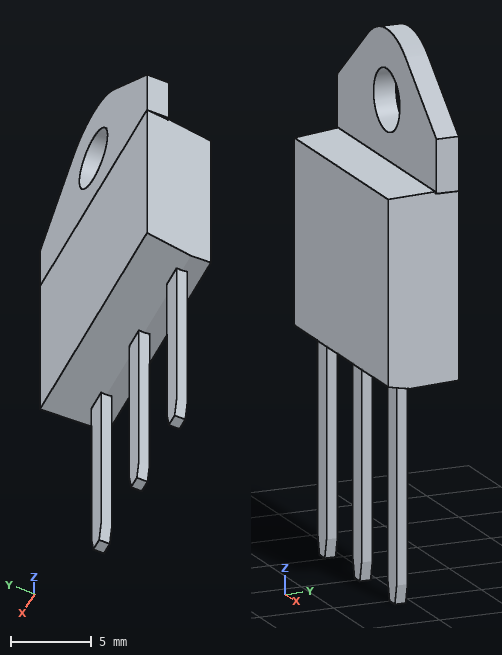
import cadquery as cq
import math

width = 15.5
depth = 4.6
height = 35.45

tab_thickness = 1.52
tab_bottom = 26.87
tab_shoulder = 30.4
hole_diameter = 4.08
tab_radius = 4.6
hole_height = height - tab_radius

front_width = 14.65
ridge_top = 26.98
front_top = 26.75
housing_bottom = 14.35
bottom_draft_rise = 0.25
parting_depth = 3.15

lead_count = 3
lead_pitch = 5.45
lead_width = 1.42
lead_thickness = 0.75
lead_tip_width = 0.85
lead_tip_height = 1.3


def make_tab():
    """Flat tab whose straight shoulders run tangent into a rounded end, with a through hole."""
    half_width = width / 2
    drop = hole_height - tab_shoulder
    shoulder_distance = math.hypot(half_width, drop)
    tangent_angle = math.acos(tab_radius / shoulder_distance) - math.atan2(drop, half_width)
    tangent_x = tab_radius * math.cos(tangent_angle)
    tangent_z = hole_height + tab_radius * math.sin(tangent_angle)
    plate = (
        cq.Workplane("XZ")
        .moveTo(-half_width, tab_bottom)
        .lineTo(half_width, tab_bottom)
        .lineTo(half_width, tab_shoulder)
        .lineTo(tangent_x, tangent_z)
        .threePointArc((0, height), (-tangent_x, tangent_z))
        .lineTo(-half_width, tab_shoulder)
        .close()
        .extrude(tab_thickness)
    )
    hole = cq.Workplane("XZ").center(0, hole_height).circle(hole_diameter / 2).extrude(tab_thickness)
    return plate.cut(hole)


def make_housing():
    """Side profile with a ledge under the tab, trimmed by side walls that taper toward the front."""
    draft_edge = housing_bottom + bottom_draft_rise
    profile = (
        cq.Workplane("YZ")
        .polyline([
            (0, draft_edge),
            (-parting_depth, housing_bottom),
            (-depth, draft_edge),
            (-depth, front_top),
            (-tab_thickness, ridge_top),
            (-tab_thickness, tab_bottom),
            (0, tab_bottom),
        ])
        .close()
        .extrude(width / 2, both=True)
    )
    tapered_walls = (
        cq.Workplane("XY")
        .polyline([
            (-width / 2, 0),
            (width / 2, 0),
            (front_width / 2, -depth),
            (-front_width / 2, -depth),
        ])
        .close()
        .extrude(height)
    )
    return profile.intersect(tapered_walls)


def make_lead(x, housing):
    """Flat lead with a tapered tip, its upper end trimmed flush to the housing underside."""
    blank = (
        cq.Workplane("XZ", origin=(x, -parting_depth, 0))
        .polyline([
            (-lead_tip_width / 2, 0),
            (lead_tip_width / 2, 0),
            (lead_width / 2, lead_tip_height),
            (lead_width / 2, housing_bottom + bottom_draft_rise),
            (-lead_width / 2, housing_bottom + bottom_draft_rise),
            (-lead_width / 2, lead_tip_height),
        ])
        .close()
        .extrude(lead_thickness / 2, both=True)
    )
    return blank.cut(housing)


tab = make_tab()
housing = make_housing()
leads = []
for index in range(lead_count):
    lead_x = (index - (lead_count - 1) / 2) * lead_pitch
    leads.append(make_lead(lead_x, housing).solids().val())

result = cq.Compound.makeCompound([tab.solids().val(), housing.solids().val(), *leads])